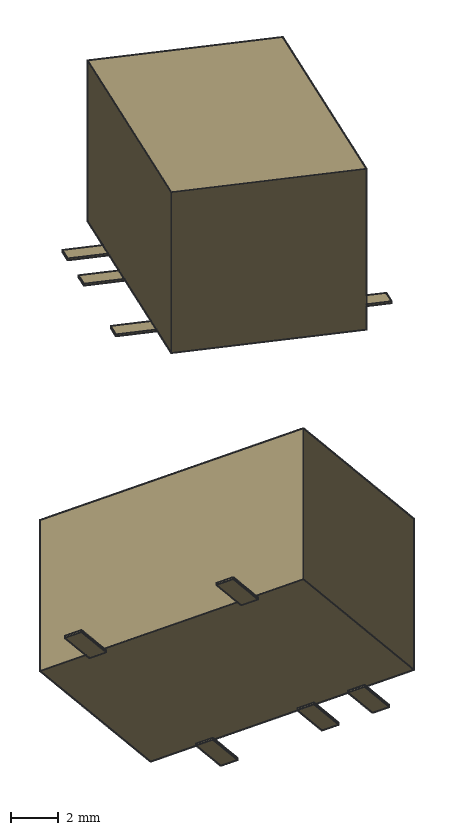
import cadquery as cq

overall_depth = 12.0
overall_height = 7.6

housing_length = 13.2
housing_depth = 8.5

lead_thickness = 0.1
lead_width = 0.85
lead_overlap = 0.16
lead_pitch = 2.53
front_lead_slots = (-1.5, -0.5, 1.5)
back_lead_slots = (-1.5, 1.5)

housing_height = overall_height - lead_thickness
lead_length = (overall_depth - housing_depth) / 2 + lead_overlap
lead_center_y = (overall_depth - lead_length) / 2


def make_housing():
    """Plain rectangular block with its underside at Z = 0."""
    return cq.Workplane("XY").box(
        housing_length, housing_depth, housing_height, centered=(True, True, False)
    )


def make_lead(x, y):
    """Flat strip whose top touches the plane of the housing underside."""
    strip = cq.Workplane("XY").box(
        lead_width, lead_length, lead_thickness, centered=(True, True, False)
    )
    return strip.translate((x, y, -lead_thickness))


housing = make_housing()

leads = []
for slots, side in ((front_lead_slots, -1), (back_lead_slots, 1)):
    for slot in slots:
        leads.append(make_lead(slot * lead_pitch, side * lead_center_y).val())

result = cq.Compound.makeCompound([housing.val(), *leads])